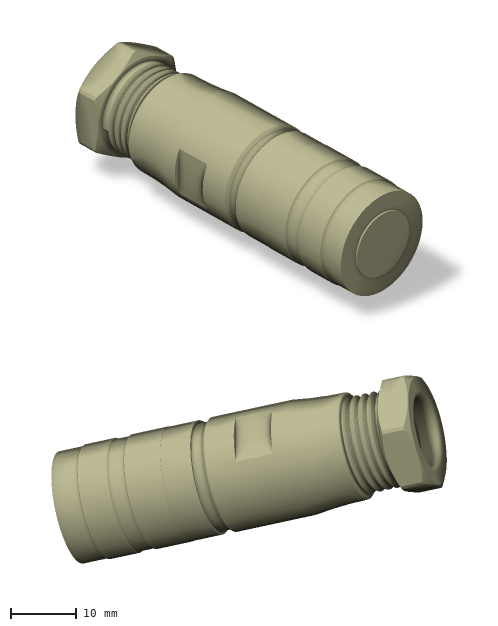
import cadquery as cq
import math

total_length = 58.45

nut_length = 5.0
nut_across_flats = 17.0
nut_corner_diameter = 19.3
nut_face_diameter = 16.85
nut_chamfer_angle = 30.0

bore_diameter = 10.75
bore_depth = 3.05
bore_lip_radius = 0.95

thread_diameter = 15.2
thread_root_diameter = 13.9
thread_pitch = 1.4
thread_root_width = 0.3
thread_crest_width = 0.05
thread_start_x = 5.6
thread_start_angle = 3.0
groove_overshoot = 0.1

body_start = 11.35
rim_radius = 0.35
body_rear_diameter = 16.8
barrel_diameter = 18.0
barrel_start = 20.3
barrel_end = 33.7
barrel_end_chamfer = 0.6
relief_diameter = 16.9
relief_end = 35.4

collar_diameter = 17.9
band_diameter = 18.0
band_chamfer = 0.2
rear_band_start = 40.35
rear_band_end = 46.35
front_band_start = 48.85
front_band_end = 53.95
sleeve_diameter = 17.6
sleeve_end = 58.15
insert_diameter = 11.15

flat_start = 22.2
flat_end = 28.3
flats_width = 16.0


def make_nut():
    """Hexagon with corners on +Z and -Z, turned down and chamfered at both ends."""
    face_radius = nut_face_diameter / 2
    corner_radius = nut_corner_diameter / 2
    chamfer_length = (corner_radius - face_radius) * math.tan(math.radians(nut_chamfer_angle))
    hexagon = (
        cq.Workplane("YZ")
        .polygon(6, nut_across_flats, circumscribed=True)
        .extrude(nut_length)
    )
    turned_blank = (
        cq.Workplane("XY")
        .moveTo(0, 0)
        .lineTo(0, face_radius)
        .lineTo(chamfer_length, corner_radius)
        .lineTo(nut_length - chamfer_length, corner_radius)
        .lineTo(nut_length, face_radius)
        .lineTo(nut_length, 0)
        .close()
        .revolve(360, (0, 0, 0), (1, 0, 0))
    )
    return hexagon.intersect(turned_blank)


def make_cable_entry():
    """Blind bore from the nut face, flaring out through a rounded lip."""
    bore_radius = bore_diameter / 2
    lip_diagonal = bore_lip_radius * (1 - math.sqrt(0.5))
    return (
        cq.Workplane("XY")
        .moveTo(0, 0)
        .lineTo(0, bore_radius + bore_lip_radius)
        .threePointArc((lip_diagonal, bore_radius + lip_diagonal), (bore_lip_radius, bore_radius))
        .lineTo(bore_depth, bore_radius)
        .lineTo(bore_depth, 0)
        .close()
        .revolve(360, (0, 0, 0), (1, 0, 0))
    )


def make_threaded_stud():
    """Cylinder with a right-handed groove that starts beside the nut on the -Y side."""
    crest_radius = thread_diameter / 2
    root_radius = thread_root_diameter / 2
    half_root = thread_root_width / 2
    half_mouth = (thread_pitch - thread_crest_width) / 2
    flank_slope = (half_mouth - half_root) / (crest_radius - root_radius)
    half_outer = half_mouth + flank_slope * groove_overshoot
    outer_radius = crest_radius + groove_overshoot

    stud_end = body_start + 2 * thread_pitch
    groove_length = body_start + thread_pitch - thread_start_x
    helix = cq.Wire.makeHelix(thread_pitch, groove_length, root_radius)
    groove = (
        cq.Workplane("XZ")
        .moveTo(root_radius, -half_root)
        .lineTo(outer_radius, -half_outer)
        .lineTo(outer_radius, half_outer)
        .lineTo(root_radius, half_root)
        .close()
        .sweep(cq.Workplane(obj=helix), isFrenet=True)
        .rotate((0, 0, 0), (0, 1, 0), 90)
        .rotate((0, 0, 0), (1, 0, 0), thread_start_angle - 90)
        .translate((thread_start_x, 0, 0))
    )
    stud = (
        cq.Workplane("YZ", origin=(nut_length, 0, 0))
        .circle(crest_radius)
        .extrude(stud_end - nut_length)
    )
    return stud.cut(groove)


def make_body():
    """Turned outline from the rounded rear rim to the front insert."""
    rear_radius = body_rear_diameter / 2
    barrel_radius = barrel_diameter / 2
    relief_radius = relief_diameter / 2
    collar_radius = collar_diameter / 2
    band_radius = band_diameter / 2
    sleeve_radius = sleeve_diameter / 2
    insert_radius = insert_diameter / 2
    flare_start = body_start + rim_radius
    return (
        cq.Workplane("XY")
        .moveTo(body_start, 0)
        .lineTo(body_start, rear_radius - rim_radius)
        .tangentArcPoint((flare_start, rear_radius), relative=False)
        .tangentArcPoint((barrel_start, barrel_radius), relative=False)
        .lineTo(barrel_end - barrel_end_chamfer, barrel_radius)
        .lineTo(barrel_end, relief_radius)
        .lineTo(relief_end, relief_radius)
        .lineTo(relief_end, collar_radius)
        .lineTo(rear_band_start, collar_radius)
        .lineTo(rear_band_start, band_radius)
        .lineTo(rear_band_end - band_chamfer, band_radius)
        .lineTo(rear_band_end, sleeve_radius)
        .lineTo(front_band_start, sleeve_radius)
        .lineTo(front_band_start + band_chamfer, band_radius)
        .lineTo(front_band_end - band_chamfer, band_radius)
        .lineTo(front_band_end, sleeve_radius)
        .lineTo(sleeve_end, sleeve_radius)
        .lineTo(sleeve_end, insert_radius)
        .lineTo(total_length, insert_radius)
        .lineTo(total_length, 0)
        .close()
        .revolve(360, (0, 0, 0), (1, 0, 0))
    )


def make_wrench_flat_cutters():
    """Two blocks whose inner faces lie on the wrench flats."""
    flat_length = flat_end - flat_start
    block_thickness = barrel_diameter - flats_width
    block_offset = (flats_width + block_thickness) / 2
    return (
        cq.Workplane("XY")
        .pushPoints([((flat_start + flat_end) / 2, side * block_offset) for side in (-1, 1)])
        .box(flat_length, block_thickness, barrel_diameter)
    )


body = make_body().cut(make_wrench_flat_cutters())
result = make_nut().union(make_threaded_stud()).union(body).cut(make_cable_entry())